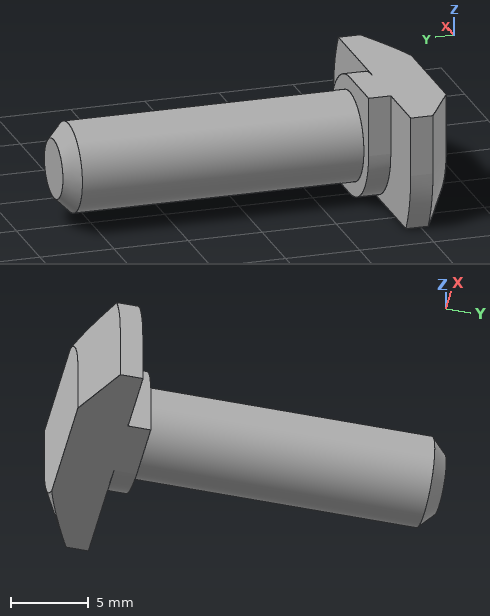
import cadquery as cq
import math

total_length = 25.0
head_half_width = 8.25
head_height = 8.0
plate_thickness = 1.5
taper_depth = 2.0
taper_angle = 60.0
collar_thickness = 1.5
shank_radius = 3.0
tip_chamfer = 1.0

half_height = head_height / 2
face_half_width = head_half_width - taper_depth * math.tan(math.radians(taper_angle))
plate_back = taper_depth + plate_thickness
collar_back = plate_back + collar_thickness

half_outline = [
    (0, 0),
    (face_half_width, 0),
    (head_half_width, taper_depth),
    (head_half_width, plate_back),
    (half_height, plate_back),
    (half_height, collar_back),
    (0, collar_back),
]


def square_quarter(x_side, z_side):
    """Quarter of the head with straight sides and square corners."""
    points = [(x_side * x, y) for x, y in half_outline]
    return cq.Workplane("XY").polyline(points).close().extrude(z_side * half_height)


def round_quarter(x_side, z_side):
    """Quarter of the head with revolved sides, cut flat at the head height."""
    turned = cq.Workplane("XY").polyline(half_outline).close().revolve(360, (0, 0), (0, 1))
    quarter_space = cq.Workplane("XY").box(
        head_half_width, collar_back, half_height
    ).translate(
        (x_side * head_half_width / 2, collar_back / 2, z_side * half_height / 2)
    )
    return turned.intersect(quarter_space)


def make_shank():
    """Round shank with a chamfered tip, starting at the head face."""
    points = [
        (0, 0),
        (shank_radius, 0),
        (shank_radius, total_length - tip_chamfer),
        (shank_radius - tip_chamfer, total_length),
        (0, total_length),
    ]
    return cq.Workplane("XY").polyline(points).close().revolve(360, (0, 0), (0, 1))


result = make_shank()
for side in (-1, 1):
    result = result.union(square_quarter(side, -side))
    result = result.union(round_quarter(side, side))
result = result.clean()